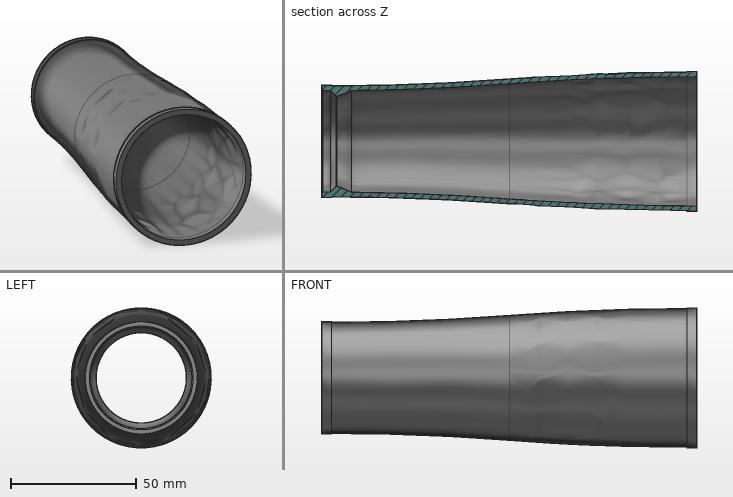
import cadquery as cq
import math

length = 150.0
small_radius = 22.5
large_radius = 28.0
band_length = 4.0
band_step = 0.25
wall = 2.0

flare_start_radius = small_radius - band_step
flare_end_radius = large_radius - band_step

socket_radius = flare_start_radius - wall
socket_depth = 3.5
mouth_chamfer = 0.5
mouth_radius = socket_radius + mouth_chamfer
throat_radius = 18.0
throat_length = 0.5
throat_start_x = socket_depth + socket_radius - throat_radius
throat_end_x = throat_start_x + throat_length
cone_end_x = 12.0

middle_x = length / 2
flare_end_x = length - band_length
half_flare = middle_x - band_length
half_rise = (flare_end_radius - flare_start_radius) / 2
arc_radius = (half_flare**2 + half_rise**2) / (2 * half_rise)


def arc_climb(run):
    """Radial change of a flare arc after an axial run from its level end."""
    return arc_radius - math.sqrt(arc_radius**2 - run**2)


def flare_point(x, inset):
    """Profile point on the flare at axial position x, moved toward the axis by inset."""
    if x <= middle_x:
        outer_radius = flare_start_radius + arc_climb(x - band_length)
    else:
        outer_radius = flare_end_radius - arc_climb(flare_end_x - x)
    return (x, outer_radius - inset)


def add_flare(profile, start_x, end_x, inset=0.0):
    """Continue the profile along both flare arcs from start_x to end_x."""
    for arc_start, arc_end in ((start_x, middle_x), (middle_x, end_x)):
        arc_middle = (arc_start + arc_end) / 2
        profile = profile.threePointArc(flare_point(arc_middle, inset), flare_point(arc_end, inset))
    return profile


def add_outside(profile):
    """Outer wall, from the small band over the flare to the large band."""
    profile = profile.lineTo(band_length, small_radius).lineTo(band_length, flare_start_radius)
    profile = add_flare(profile, band_length, flare_end_x)
    return profile.lineTo(flare_end_x, large_radius).lineTo(length, large_radius)


def add_inside(profile):
    """Inner wall, from the large end back to the cone behind the throat."""
    inner_radius = flare_end_radius - wall
    profile = profile.lineTo(length, inner_radius).lineTo(flare_end_x, inner_radius)
    return add_flare(profile, flare_end_x, cone_end_x, wall)


def add_socket(profile):
    """Throat, seat and socket bore, out to the mouth chamfer."""
    profile = profile.lineTo(throat_end_x, throat_radius).lineTo(throat_start_x, throat_radius)
    profile = profile.lineTo(socket_depth, socket_radius)
    return profile.lineTo(mouth_chamfer, socket_radius)


def make_sleeve():
    """Revolve the half section, with X along the axis and Z as radius."""
    profile = cq.Workplane("XZ").moveTo(0, mouth_radius).lineTo(0, small_radius)
    profile = add_outside(profile)
    profile = add_inside(profile)
    profile = add_socket(profile)
    return profile.close().revolve(360, (0, 0, 0), (1, 0, 0))


result = make_sleeve()